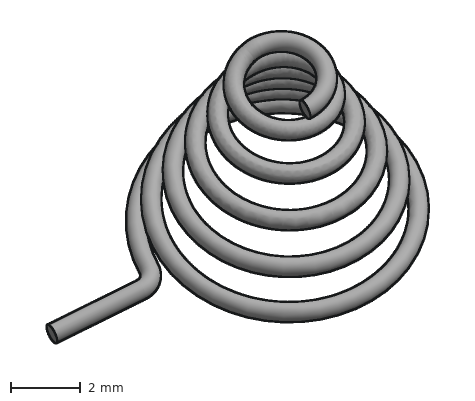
import cadquery as cq
import math

wire_diameter = 0.6
turns = 5
pitch = 1.4
coil_height = turns * pitch

bottom_radius = 4.15
first_turn_radius = 3.63
last_turn_radius = 1.7
top_radius = 1.27
points_per_turn = 24

ring_radius = 1.31
ring_centre_x = ring_radius - top_radius

bend_radius = 0.6
leg_end_y = -7.71


def coil_radius(turn):
    """Centre-line radius after a number of turns from the bottom."""
    if turn <= 1:
        return bottom_radius + (first_turn_radius - bottom_radius) * turn
    if turn <= turns - 1:
        share = (turn - 1) / (turns - 2)
        return first_turn_radius + (last_turn_radius - first_turn_radius) * share
    return last_turn_radius + (top_radius - last_turn_radius) * (turn - turns + 1)


def coil_point(turn):
    """Centre-line point; the coil starts on -X and climbs clockwise seen from above."""
    angle = math.pi - 2 * math.pi * turn
    radius = coil_radius(turn)
    return cq.Vector(radius * math.cos(angle), radius * math.sin(angle), pitch * turn)


def leg_edges():
    """Straight leg, bend and flat bottom arc, running from the free end to the coil."""
    bend_centre_distance = bottom_radius + bend_radius
    leg_start_y = -math.sqrt(bend_centre_distance**2 - bend_radius**2)
    bend_centre = cq.Vector(-bend_radius, leg_start_y, 0)
    bend_end = bend_centre * (bottom_radius / bend_centre_distance)

    leg_start = cq.Vector(0, leg_start_y, 0)
    leg = cq.Edge.makeLine(cq.Vector(0, leg_end_y, 0), leg_start)
    bend = cq.Edge.makeTangentArc(leg_start, cq.Vector(0, 1, 0), bend_end)
    bend_end_angle = math.atan2(bend_end.y, bend_end.x)
    arc_middle_angle = (bend_end_angle - math.pi) / 2
    arc_middle = cq.Vector(
        bottom_radius * math.cos(arc_middle_angle),
        bottom_radius * math.sin(arc_middle_angle),
        0,
    )
    bottom_arc = cq.Edge.makeThreePointArc(bend_end, arc_middle, coil_point(0))
    return [leg, bend, bottom_arc]


def coil_edge():
    """Conical coil, level and heading along +Y at both ends to run on from the flat arcs."""
    turn_counts = [i / points_per_turn for i in range(turns * points_per_turn + 1)]
    end_headings = [cq.Vector(0, 2 * math.pi * radius, 0) for radius in (bottom_radius, top_radius)]
    return cq.Edge.makeSpline(
        [coil_point(turn) for turn in turn_counts],
        tangents=end_headings,
        parameters=turn_counts,
        scale=False,
    )


def ring_edge():
    """Flat half ring from -X over +Y to +X at the top of the coil."""
    return cq.Edge.makeThreePointArc(
        coil_point(turns),
        cq.Vector(ring_centre_x, ring_radius, coil_height),
        cq.Vector(ring_centre_x + ring_radius, 0, coil_height),
    )


path = cq.Wire.assembleEdges(leg_edges() + [coil_edge(), ring_edge()])
section = cq.Workplane("XZ", origin=(0, leg_end_y, 0)).circle(wire_diameter / 2)
result = section.sweep(cq.Workplane(path))